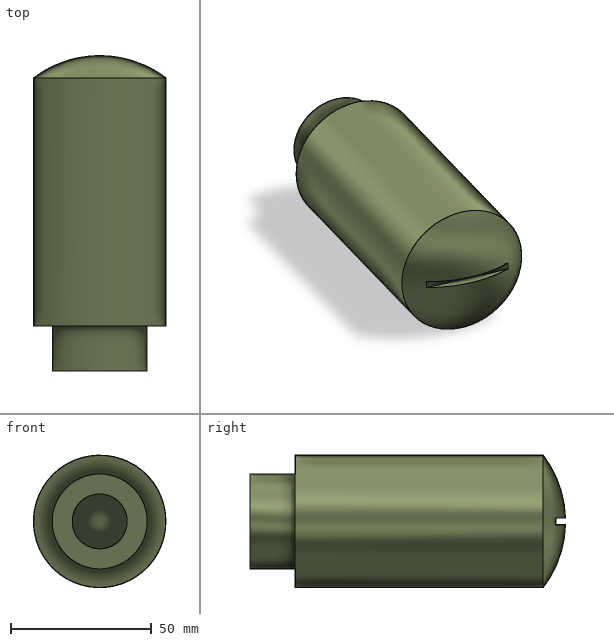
import cadquery as cq

total_length = 112.0
body_diameter = 47.0
neck_diameter = 33.7
neck_length = 16.0
dome_height = 8.0
bore_diameter = 19.5
bore_depth = 56.0
slot_width = 2.4
slot_depth = 3.5

body_radius = body_diameter / 2
neck_radius = neck_diameter / 2
bore_radius = bore_diameter / 2
dome_base = total_length - dome_height

dome_radius = (body_radius**2 + dome_height**2) / (2 * dome_height)
arc_mid_x = body_radius / 2
arc_mid_y = total_length - dome_radius + (dome_radius**2 - arc_mid_x**2) ** 0.5


def turned_body():
    """Neck, cylindrical body and domed end, with the neck face at Y = 0."""
    return (
        cq.Workplane("XY")
        .lineTo(neck_radius, 0)
        .lineTo(neck_radius, neck_length)
        .lineTo(body_radius, neck_length)
        .lineTo(body_radius, dome_base)
        .threePointArc((arc_mid_x, arc_mid_y), (0, total_length))
        .close()
        .revolve(360, (0, 0, 0), (0, 1, 0))
    )


def blind_bore():
    """Flat-bottomed bore entering through the neck face."""
    return cq.Workplane("XZ").circle(bore_radius).extrude(-bore_depth)


def driver_slot():
    """Straight slot along X across the crown of the dome."""
    return (
        cq.Workplane("XY")
        .box(body_diameter, slot_depth, slot_width, centered=(True, False, True))
        .translate((0, total_length - slot_depth, 0))
    )


result = turned_body().cut(blind_bore()).cut(driver_slot())